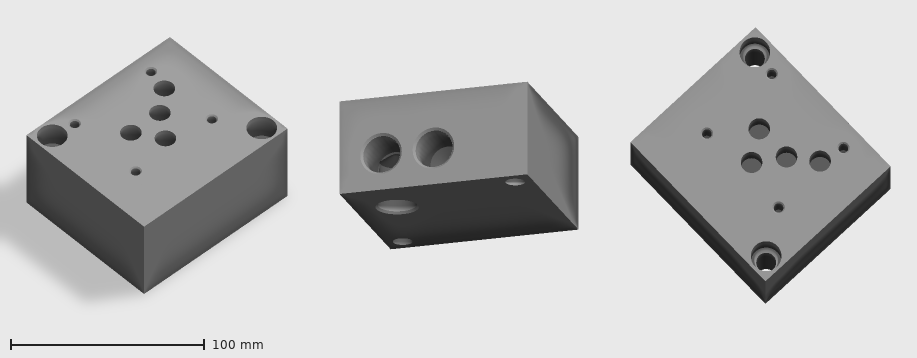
import cadquery as cq
import math

LENGTH_X = 88.9
LENGTH_Y = 101.6
HEIGHT = 50.8
LEFT = -LENGTH_X / 2
TOP = HEIGHT / 2
BOTTOM = -HEIGHT / 2

DRILL_TIP_ANGLE = 120.0

MOUNT_DIAMETER = 10.3
MOUNT_BORE_DIAMETER = 15.8
MOUNT_BORE_DEPTH = 14.2
MOUNT_EDGE_DISTANCE = 9.4

BOLT_DIAMETER = 5.0
BOLT_MOUTH_DIAMETER = 6.5
BOLT_DEPTH = 15.2
BOLT_SPACING_X = 46.0
BOLT_SPACING_Y = 54.0
BOLT_LEFT_X = LEFT + 11.1
BOLT_RIGHT_X = BOLT_LEFT_X + BOLT_SPACING_X

VALVE_PORT_DIAMETER = 11.2
VALVE_PORT_DEPTH = 14.2
PRESSURE_X = BOLT_RIGHT_X - 6.3
PRESSURE_Y = 0.0
WORK_X = BOLT_RIGHT_X - 21.4
WORK_OFFSET_Y = 10.3
TANK_X = BOLT_RIGHT_X - 32.5
TANK_Y = 23.8

PORT_MOUTH_DIAMETER = 22.5
PORT_BORE_DIAMETER = 20.0
PORT_END_DIAMETER = 18.3
PORT_DEPTH = 24.5
SIDE_PORT_Z = -5.6
TANK_SIDE_Y = 28.3
PRESSURE_SIDE_Y = PRESSURE_Y
BOTTOM_PORT_OVERSHOOT = 3.6
BOTTOM_PORT_X = LEFT + PORT_DEPTH + BOTTOM_PORT_OVERSHOOT


def cone(start, axis, start_diameter, end_diameter, depth):
    """Truncated cone (or full cone for a zero end diameter) running along the axis."""
    solid = cq.Solid.makeCone(
        start_diameter / 2, end_diameter / 2, depth, cq.Vector(*start), cq.Vector(*axis)
    )
    return cq.Workplane(solid)


def mouth_chamfer(mouth, axis, mouth_diameter, bore_diameter):
    """45-degree cone that opens a bore out to its mouth diameter."""
    depth = (mouth_diameter - bore_diameter) / 2
    return cone(mouth, axis, mouth_diameter, bore_diameter, depth)


def drill_tip(mouth, axis, diameter, depth):
    """Conical end of a blind hole whose full diameter stops at the given depth."""
    shoulder = (cq.Vector(*mouth) + cq.Vector(*axis) * depth).toTuple()
    tip_length = diameter / 2 / math.tan(math.radians(DRILL_TIP_ANGLE / 2))
    return cone(shoulder, axis, diameter, 0, tip_length)


def cut_mounting_holes(body):
    x = LENGTH_X / 2 - MOUNT_EDGE_DISTANCE
    y = LENGTH_Y / 2 - MOUNT_EDGE_DISTANCE
    top = body.faces(">Z").workplane(origin=(0, 0, TOP))
    return top.pushPoints([(x, y), (-x, -y)]).cboreHole(
        MOUNT_DIAMETER, MOUNT_BORE_DIAMETER, MOUNT_BORE_DEPTH
    )


def cut_valve_ports(body):
    centres = [
        (PRESSURE_X, PRESSURE_Y),
        (WORK_X, WORK_OFFSET_Y),
        (WORK_X, -WORK_OFFSET_Y),
        (TANK_X, TANK_Y),
    ]
    top = body.faces(">Z").workplane(origin=(0, 0, TOP))
    return top.pushPoints(centres).hole(VALVE_PORT_DIAMETER, VALVE_PORT_DEPTH)


def cut_bolt_holes(body):
    down = (0, 0, -1)
    for x in (BOLT_LEFT_X, BOLT_RIGHT_X):
        for y in (-BOLT_SPACING_Y / 2, BOLT_SPACING_Y / 2):
            mouth = (x, y, TOP)
            shank = cq.Solid.makeCylinder(
                BOLT_DIAMETER / 2, BOLT_DEPTH, cq.Vector(*mouth), cq.Vector(*down)
            )
            body = body.cut(cq.Workplane(shank))
            body = body.cut(drill_tip(mouth, down, BOLT_DIAMETER, BOLT_DEPTH))
            body = body.cut(mouth_chamfer(mouth, down, BOLT_MOUTH_DIAMETER, BOLT_DIAMETER))
    return body


def cut_threaded_port(body, mouth, axis):
    """Chamfered mouth, tapered bore and drill tip."""
    body = body.cut(cone(mouth, axis, PORT_BORE_DIAMETER, PORT_END_DIAMETER, PORT_DEPTH))
    body = body.cut(drill_tip(mouth, axis, PORT_END_DIAMETER, PORT_DEPTH))
    return body.cut(mouth_chamfer(mouth, axis, PORT_MOUTH_DIAMETER, PORT_BORE_DIAMETER))


result = cq.Workplane("XY").box(LENGTH_X, LENGTH_Y, HEIGHT)
result = cut_mounting_holes(result)
result = cut_valve_ports(result)
result = cut_bolt_holes(result)
for port_y in (TANK_SIDE_Y, PRESSURE_SIDE_Y):
    result = cut_threaded_port(result, (LEFT, port_y, SIDE_PORT_Z), (1, 0, 0))
result = cut_threaded_port(result, (BOTTOM_PORT_X, TANK_SIDE_Y, BOTTOM), (0, 0, 1))